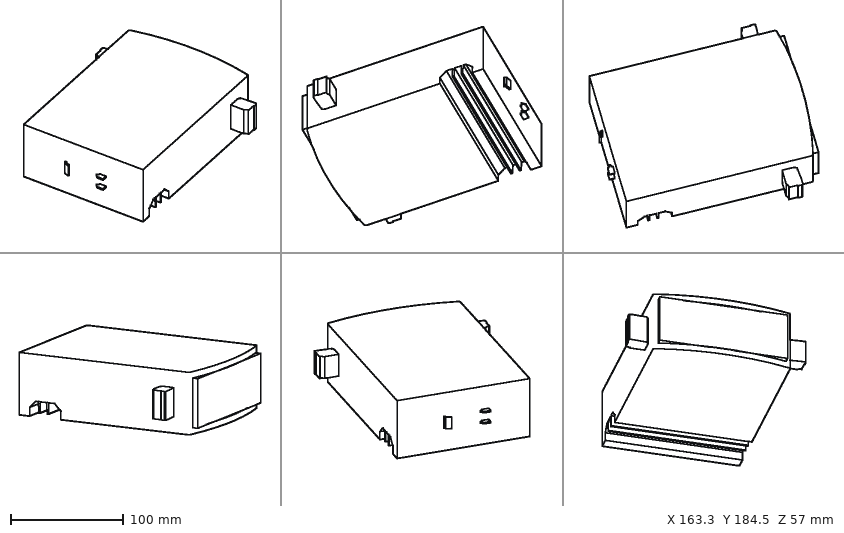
import cadquery as cq

overall_width = 163.3
overall_length = 184.5
height = 57.0

body_width = 126.5
blade_reach = 5.0
body_length = overall_length - blade_reach
corner_y = 172.0
corner_radius = 2.2
half_width = body_width / 2
bottom_z = -height / 2

lip_thickness = 5.9
panel_width = 117.7
panel_y = 178.3
panel_depth = 7.4
panel_height = height - 2 * lip_thickness

ear_reach = (overall_width - body_width) / 2
left_ear_height = 21.4
right_ear_height = 26.2
ear_root = 1.8
ear_front_y = 143.4
ear_back_y = 157.8
ear_wall_end_y = 154.6
ear_grip_reach = 17.7

slot_front_y = 10.5
slot_back_y = 42.0
slot_depth = 14.2
slot_wall_height = 8.0
slot_bevel = slot_depth - slot_wall_height
rib_front_positions = (19.4, 27.9)
rib_root_thickness = 2.0
rib_tip_thickness = 1.5
rib_length = 10.3

front_root = 1.0
blade_thickness = 1.3
blade_outer_z = 6.0
blade_left_x = 17.3
blade_right_x = 24.2
tab_height = 11.0
tab_left_x = -19.0
tab_inner_x = -17.7
tab_tip_x = -13.1
tab_bend_depth = 1.1


def plate(points, plate_height, center_z=0):
    """Extrude an XY outline symmetrically about center_z."""
    outline = cq.Workplane("XY", origin=(0, 0, center_z)).polyline(points).close()
    return outline.extrude(plate_height / 2, both=True)


def side_prism(points):
    """Extrude a (y, z) outline across the full width of the housing."""
    return cq.Workplane("YZ").polyline(points).close().extrude(half_width, both=True)


def make_body():
    outline = (
        cq.Workplane("XY")
        .moveTo(-half_width, 0)
        .lineTo(half_width, 0)
        .lineTo(half_width, corner_y)
        .threePointArc((0, body_length), (-half_width, corner_y))
        .close()
    )
    body = outline.extrude(height / 2, both=True)
    return body.edges("|Z").edges(">Y").fillet(corner_radius)


def add_back_panel(body):
    crown_rise = body_length - panel_y
    crown_trim = cq.Workplane("XY", origin=(0, panel_y + crown_rise / 2, 0)).box(
        body_width, crown_rise, panel_height
    )
    panel = cq.Workplane("XY", origin=(0, panel_y - panel_depth / 2, 0)).box(
        panel_width, panel_depth, panel_height
    )
    return body.cut(crown_trim).union(panel)


def make_ear(side, ear_height):
    """Grip on one side; side is -1 for left and +1 for right."""
    profile = [
        (-ear_root, ear_front_y),
        (13.5, ear_front_y),
        (15.7, 144.7),
        (17.0, 145.2),
        (ear_grip_reach, 144.7),
        (ear_grip_reach, 153.2),
        (ear_reach, 153.2),
        (ear_reach, 156.5),
        (ear_grip_reach, ear_back_y),
        (13.0, ear_back_y),
        (1.3, 156.9),
        (0, ear_wall_end_y),
        (-ear_root, ear_wall_end_y),
    ]
    return plate([(side * (half_width + out), y) for out, y in profile], ear_height)


def make_slot():
    slot_top_z = bottom_z + slot_depth
    wall_top_z = bottom_z + slot_wall_height
    return side_prism([
        (slot_front_y, bottom_z),
        (slot_front_y, wall_top_z),
        (slot_front_y + slot_bevel, slot_top_z),
        (slot_back_y - slot_bevel, slot_top_z),
        (slot_back_y, wall_top_z),
        (slot_back_y, bottom_z),
    ])


def make_rib(front_y):
    """Rib with a straight back face and a tapered front face."""
    root_z = bottom_z + slot_depth
    tip_z = root_z - rib_length
    back_y = front_y + rib_root_thickness
    return side_prism([
        (front_y, root_z),
        (back_y, root_z),
        (back_y, tip_z),
        (back_y - rib_tip_thickness, tip_z),
    ])


def make_blade(center_z):
    """Thin hooked latch blade with its barb pointing to -X."""
    profile = [
        (blade_left_x, front_root),
        (blade_left_x, -1.1),
        (15.1, -2.0),
        (17.9, -blade_reach),
        (blade_right_x, -blade_reach),
        (blade_right_x, front_root),
    ]
    return plate(profile, blade_thickness, center_z)


def make_bent_tab():
    """Thin tab that leaves the front face and bends towards +X."""
    profile = [
        (tab_left_x, front_root),
        (tab_left_x, -tab_bend_depth),
        (-18.0, -2.5),
        (tab_tip_x, -4.5),
        (tab_tip_x, -2.8),
        (tab_inner_x, -tab_bend_depth),
        (tab_inner_x, front_root),
    ]
    return plate(profile, tab_height)


result = add_back_panel(make_body())
result = result.cut(make_slot())
for rib_front_y in rib_front_positions:
    result = result.union(make_rib(rib_front_y))

result = result.union(make_ear(-1, left_ear_height))
result = result.union(make_ear(1, right_ear_height))

blade_center_z = blade_outer_z - blade_thickness / 2
for blade_z in (-blade_center_z, blade_center_z):
    result = result.union(make_blade(blade_z))
result = result.union(make_bent_tab())